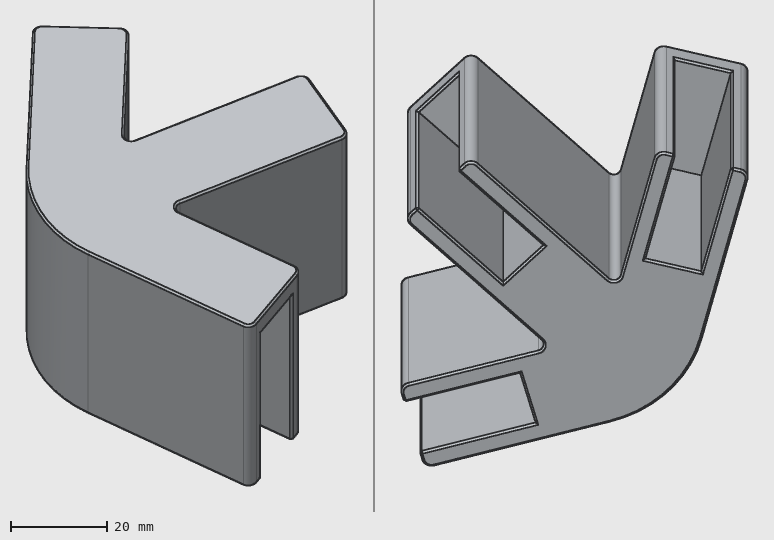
import cadquery as cq
import math

height = 50.0
arm_width = 20.0
overall_width = 95.1
side_arm_angle = 30
overall_depth = 67.4
bend_radius = 27.2
tip_radius = 2.0
inner_radius = 1.5
edge_chamfer = 0.5

slot_width = 12.0
slot_depth = 25.0
slot_roof = 5.0

slope = math.radians(side_arm_angle)
sharp_corner_drop = arm_width / 2 / math.cos(slope)
bend_cutback = bend_radius * (1 / math.cos(slope) - 1)
straight_arm_length = overall_depth - (sharp_corner_drop - bend_cutback)

tip_center_x = overall_width / 2 - tip_radius
tip_center_offset = arm_width / 2 - tip_radius
side_arm_length = tip_radius + (tip_center_x - tip_center_offset * math.sin(slope)) / math.cos(slope)

arms = [
    (side_arm_angle, side_arm_length),
    (180 - side_arm_angle, side_arm_length),
    (90, straight_arm_length),
]


def make_arm(angle, length):
    """Bar from the junction along the given direction, with rounded tip corners."""
    bar = cq.Workplane("XY").box(length, arm_width, height, centered=(False, True, False))
    bar = bar.edges("|Z and >X").fillet(tip_radius)
    return bar.rotate((0, 0, 0), (0, 0, 1), angle)


def make_hub():
    """Wedge that fills the sharp outer corner between the side arms."""
    half_width = arm_width / 2
    across = half_width * math.sin(slope)
    back = -half_width * math.cos(slope)
    outline = [(0, 0), (-across, back), (0, -sharp_corner_drop), (across, back)]
    return cq.Workplane("XY").polyline(outline).close().extrude(height)


def make_slot(angle, length):
    """Slot cutter, open at the arm's end and at the underside."""
    slot = cq.Workplane("XY").box(slot_depth, slot_width, height - slot_roof, centered=(False, True, False))
    slot = slot.translate((length - slot_depth, 0, 0))
    return slot.rotate((0, 0, 0), (0, 0, 1), angle)


def mouth_edges(solid, angle, length):
    """The two upright edges and the top edge of the slot in an arm's end face."""
    direction = math.radians(angle)
    slot_height = height - slot_roof
    edges = cq.Workplane("XY")
    midpoints = [
        (-slot_width / 2, slot_height / 2),
        (slot_width / 2, slot_height / 2),
        (0, slot_height),
    ]
    for sideways, z in midpoints:
        x = length * math.cos(direction) - sideways * math.sin(direction)
        y = length * math.sin(direction) + sideways * math.cos(direction)
        edges = edges.add(solid.edges(cq.NearestToPointSelector((x, y, z))))
    return edges


body = make_hub()
for arm_angle, arm_length in arms:
    body = body.union(make_arm(arm_angle, arm_length))
body = body.clean()

inner_corner_x = arm_width / 2
inner_corner_y = inner_corner_x * math.tan(slope) + sharp_corner_drop
mid_height = height / 2
body = body.edges(cq.NearestToPointSelector((0, -sharp_corner_drop, mid_height))).fillet(bend_radius)
for side in (-1, 1):
    corner = (side * inner_corner_x, inner_corner_y, mid_height)
    body = body.edges(cq.NearestToPointSelector(corner)).fillet(inner_radius)

for arm_angle, arm_length in arms:
    body = body.cut(make_slot(arm_angle, arm_length))
chamfered = body.faces("<Z or >Z").edges()
for arm_angle, arm_length in arms:
    chamfered = chamfered.add(mouth_edges(body, arm_angle, arm_length))

result = chamfered.chamfer(edge_chamfer)